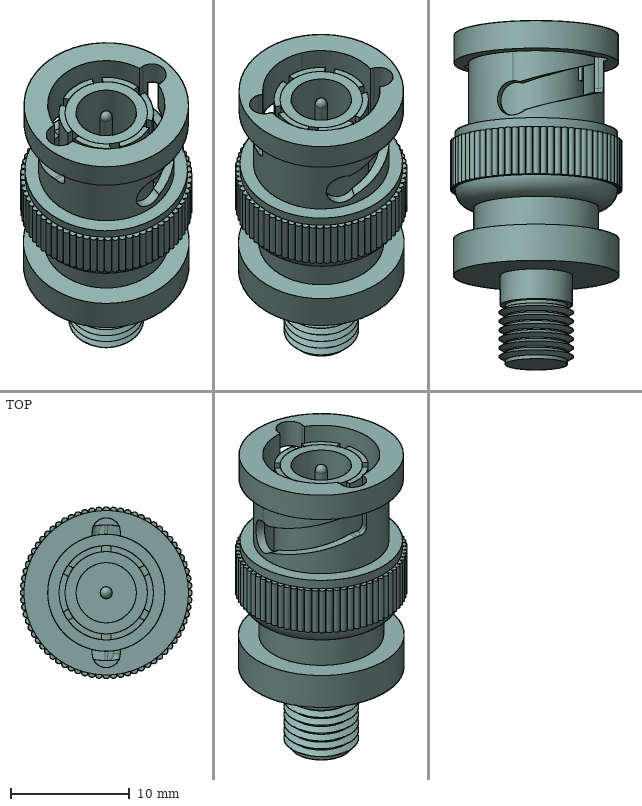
import cadquery as cq


THREAD_ROOT_RADIUS = 2.62
THREAD_CREST_RADIUS = 3.15
NECK_RADIUS = 3.05
DISC_RADIUS = 7.0
SHAFT_RADIUS = 5.27
COLLAR_RADIUS = 6.85
KNURL_RADIUS = 7.25
BARREL_RADIUS = 5.72
FLANGE_RADIUS = 6.93

LOWEST_RIDGE_Z = 0.65
NECK_BOTTOM_Z = 5.07
DISC_BOTTOM_Z = 7.6
DISC_TOP_Z = 10.7
KNURL_BOTTOM_Z = 15.0
KNURL_TOP_Z = 19.05
COLLAR_TOP_Z = 19.87
FLANGE_BOTTOM_Z = 25.82
TOP_Z = 28.2

THREAD_PITCH = 0.75
RIDGE_WIDTH = 0.65
RIDGE_COUNT = 6

COLLAR_ROUND = COLLAR_RADIUS - SHAFT_RADIUS
COLLAR_BOTTOM_Z = KNURL_BOTTOM_Z - COLLAR_ROUND

KNURL_CORE_RADIUS = 6.95
RIB_COUNT = 72
RIB_RADIUS = KNURL_RADIUS - KNURL_CORE_RADIUS

BORE_RADIUS = 4.93
BORE_FLOOR_Z = KNURL_BOTTOM_Z

TRACK_ANGLES = (0, 180)
ENTRY_RADIUS = 1.18
ENTRY_OFFSET = 5.13
ENTRY_FLOOR_Z = 22.97
ENTRY_FLOOR_ROUND = 0.55
RAMP_HEIGHT = 2.55
RAMP_RISE = 2.48
RAMP_TURN = 90.0
RAMP_CREST_RADIUS = 0.85
EDGE_MARGIN = 0.03
SEAT_RADIUS = 1.47
SEAT_Z = 21.85

SOCKET_TOP_Z = 27.15
FINGER_OUTER_RADIUS = 3.97
FINGER_INNER_RADIUS = 3.47
SLIT_COUNT = 6
SLIT_WIDTH = 0.82
SLIT_BOTTOM_Z = 24.07
SOCKET_RADIUS = 2.55
PIN_RADIUS = 0.5


def cylinder(radius, bottom_z, top_z):
    return cq.Workplane("XY").workplane(offset=bottom_z).circle(radius).extrude(top_z - bottom_z)


def tube(outer_radius, inner_radius, bottom_z, top_z):
    return cylinder(outer_radius, bottom_z, top_z).cut(cylinder(inner_radius, bottom_z, top_z))


def turn(part, angle):
    """Rotate a part about the Z axis."""
    return part.rotate((0, 0, 0), (0, 0, 1), angle)


def revolve_profile(profile):
    """Revolve a closed XZ profile about the Z axis."""
    return profile.close().revolve(360, (0, 0, 0), (0, 1, 0))


def thread():
    """Root cylinder carrying pointed rings, one above the other."""
    profile = cq.Workplane("XZ").lineTo(THREAD_ROOT_RADIUS, 0)
    for index in range(RIDGE_COUNT):
        crest_z = LOWEST_RIDGE_Z + index * THREAD_PITCH
        profile = (
            profile.lineTo(THREAD_ROOT_RADIUS, crest_z - RIDGE_WIDTH / 2)
            .lineTo(THREAD_CREST_RADIUS, crest_z)
            .lineTo(THREAD_ROOT_RADIUS, crest_z + RIDGE_WIDTH / 2)
        )
    profile = profile.lineTo(THREAD_ROOT_RADIUS, NECK_BOTTOM_Z).lineTo(0, NECK_BOTTOM_Z)
    return revolve_profile(profile)


def turned_blank():
    """Stepped outside of the shell above the thread."""
    profile = (
        cq.Workplane("XZ")
        .moveTo(0, NECK_BOTTOM_Z)
        .lineTo(NECK_RADIUS, NECK_BOTTOM_Z)
        .lineTo(NECK_RADIUS, DISC_BOTTOM_Z)
        .lineTo(DISC_RADIUS, DISC_BOTTOM_Z)
        .lineTo(DISC_RADIUS, DISC_TOP_Z)
        .lineTo(SHAFT_RADIUS, DISC_TOP_Z)
        .lineTo(SHAFT_RADIUS, COLLAR_BOTTOM_Z)
        .radiusArc((COLLAR_RADIUS, KNURL_BOTTOM_Z), -COLLAR_ROUND)
        .lineTo(COLLAR_RADIUS, COLLAR_TOP_Z)
        .lineTo(BARREL_RADIUS, COLLAR_TOP_Z)
        .lineTo(BARREL_RADIUS, FLANGE_BOTTOM_Z)
        .lineTo(FLANGE_RADIUS, FLANGE_BOTTOM_Z)
        .lineTo(FLANGE_RADIUS, TOP_Z)
        .lineTo(0, TOP_Z)
    )
    return revolve_profile(profile)


def knurl():
    """Ring of axial ribs, each a round bar half sunk into the core."""
    ribs = (
        cq.Workplane("XY")
        .workplane(offset=KNURL_BOTTOM_Z)
        .polarArray(KNURL_CORE_RADIUS, 0, 360, RIB_COUNT)
        .circle(RIB_RADIUS)
        .extrude(KNURL_TOP_Z - KNURL_BOTTOM_Z)
    )
    return tube(KNURL_CORE_RADIUS, BORE_RADIUS, KNURL_BOTTOM_Z, KNURL_TOP_Z).union(ribs)


def entry_cutter():
    """Round-ended slot across the mouth that opens an entry on both sides, rounded along its floor."""
    return (
        cq.Workplane("XY")
        .workplane(offset=ENTRY_FLOOR_Z)
        .slot2D(2 * (ENTRY_OFFSET + ENTRY_RADIUS), 2 * ENTRY_RADIUS, 90)
        .extrude(TOP_Z - ENTRY_FLOOR_Z)
        .faces("<Z")
        .edges()
        .fillet(ENTRY_FLOOR_ROUND)
    )


def ramp_cutter():
    """Band that climbs from the seat on the -X side to the entry on the -Y side."""
    inner_radius = (BORE_RADIUS + FINGER_OUTER_RADIUS) / 2
    outer_radius = FLANGE_RADIUS
    middle_radius = (inner_radius + outer_radius) / 2
    start_z = ENTRY_FLOOR_Z - RAMP_RISE + RAMP_HEIGHT / 2
    path = cq.Wire.makeHelix(RAMP_RISE * 360 / RAMP_TURN, RAMP_RISE, middle_radius)
    band = (
        cq.Workplane("XZ")
        .center(middle_radius, 0)
        .rect(outer_radius - inner_radius, RAMP_HEIGHT)
        .sweep(cq.Workplane(obj=path), isFrenet=True)
    )
    return turn(band, 180).translate((0, 0, start_z))


def seat_cutter():
    return cq.Workplane("YZ").center(0, SEAT_Z).circle(SEAT_RADIUS).extrude(-FLANGE_RADIUS)


def mouth():
    """Bored upper wall of the shell with both bayonet tracks cut through it."""
    wall = turned_blank().intersect(tube(DISC_RADIUS, BORE_RADIUS, BORE_FLOOR_Z, TOP_Z))
    wall = wall.cut(entry_cutter())
    for angle in TRACK_ANGLES:
        wall = wall.cut(turn(ramp_cutter(), angle))
        wall = wall.cut(turn(seat_cutter(), angle))
    corner = (EDGE_MARGIN, FLANGE_RADIUS, ENTRY_FLOOR_Z + EDGE_MARGIN)
    opposite_corner = (-EDGE_MARGIN, -FLANGE_RADIUS, ENTRY_FLOOR_Z - EDGE_MARGIN)
    ramp_crests = wall.edges(cq.selectors.BoxSelector(corner, opposite_corner))
    return ramp_crests.fillet(RAMP_CREST_RADIUS)


def contact_fingers():
    """Ring split by slits into equal fingers."""
    ring = tube(FINGER_OUTER_RADIUS, FINGER_INNER_RADIUS, BORE_FLOOR_Z, SOCKET_TOP_Z)
    slit = (
        cq.Workplane("XY")
        .workplane(offset=SLIT_BOTTOM_Z)
        .center(0, FINGER_OUTER_RADIUS / 2)
        .rect(SLIT_WIDTH, 2 * FINGER_OUTER_RADIUS)
        .extrude(SOCKET_TOP_Z - SLIT_BOTTOM_Z)
    )
    for index in range(SLIT_COUNT):
        ring = ring.cut(turn(slit, index * 360 / SLIT_COUNT))
    return ring


def centre_pin():
    """Pin with a hemispherical tip, level with the fingers."""
    profile = (
        cq.Workplane("XZ")
        .moveTo(0, BORE_FLOOR_Z)
        .lineTo(PIN_RADIUS, BORE_FLOOR_Z)
        .lineTo(PIN_RADIUS, SOCKET_TOP_Z - PIN_RADIUS)
        .radiusArc((0, SOCKET_TOP_Z), -PIN_RADIUS)
    )
    return revolve_profile(profile)


def shell():
    base = turned_blank().intersect(cylinder(DISC_RADIUS, 0, BORE_FLOOR_Z))
    return (
        base.union(thread())
        .union(knurl())
        .union(mouth())
        .union(contact_fingers())
        .union(centre_pin())
    )


def insulator():
    return tube(FINGER_INNER_RADIUS, SOCKET_RADIUS, BORE_FLOOR_Z, SOCKET_TOP_Z)


result = cq.Compound.makeCompound([shell().val(), insulator().val()])